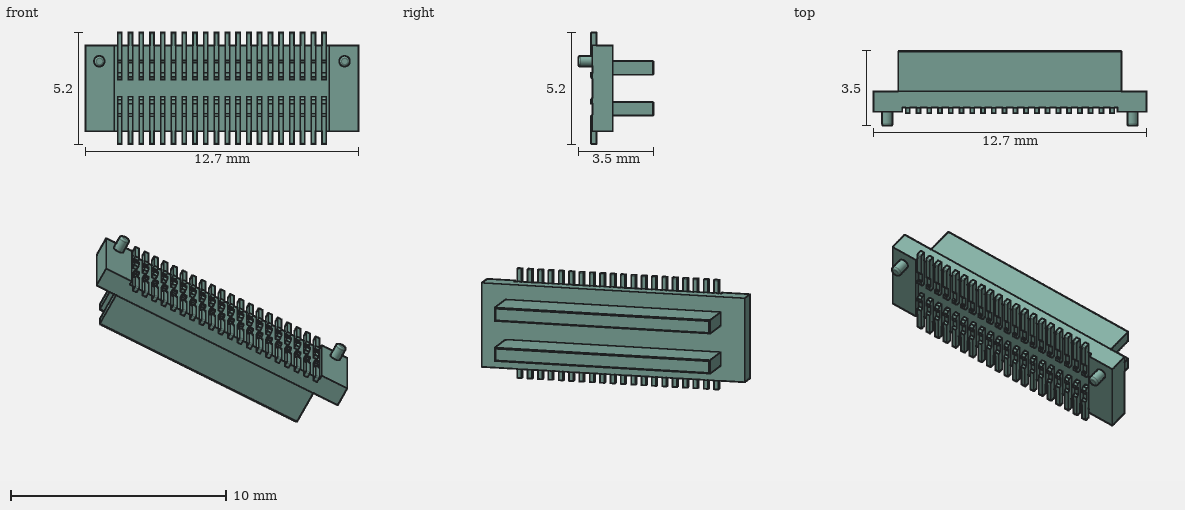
import cadquery as cq


housing_length = 12.7
housing_depth = 0.95
housing_height = 4.0
recess_length = 10.0
recess_depth = 0.19

wall_length = 10.39
wall_thickness = 0.65
wall_reach = 1.89
wall_spacing = 1.9
wall_chamfer = 0.05

peg_diameter = 0.5
peg_length = 0.66
peg_tip_radius = 0.095
peg_spacing = 11.4
peg_center_z = 1.26

contact_count = 20
contact_row_length = 9.5
contact_pitch = contact_row_length / (contact_count - 1)
contact_width = 0.2
contact_tip_to_tip = 5.2
contact_outer_z = contact_tip_to_tip / 2
contact_inner_z = 0.4
contact_stand_off = 0.08
contact_tip_front_radius = 0.06
contact_tip_back_radius = 0.03
contact_heel_height = 0.14
contact_heel_depth = 0.1
notch_outer_z = 1.3
notch_inner_z = 0.71
notch_depth = 0.1


def make_housing():
    """Block whose mounting face is recessed between the two end blocks."""
    block = cq.Workplane("XY").box(
        housing_length, housing_depth, housing_height, centered=(True, False, True)
    )
    recess = cq.Workplane("XY").box(
        recess_length, recess_depth, housing_height, centered=(True, False, True)
    )
    return block.cut(recess)


def make_wall(center_z):
    """Mating wall on the back of the housing, chamfered around its free end."""
    wall = cq.Workplane("XY").box(
        wall_length, wall_reach, wall_thickness, centered=(True, False, True)
    )
    wall = wall.faces(">Y").chamfer(wall_chamfer)
    return wall.translate((0, housing_depth, center_z))


def make_peg(center_x):
    """Round locating peg with a rounded tip."""
    peg = cq.Workplane("XZ").circle(peg_diameter / 2).extrude(peg_length)
    peg = peg.faces("<Y").fillet(peg_tip_radius)
    return peg.translate((center_x, 0, peg_center_z))


def make_upper_contact():
    """Flat solder tail lying on the recess floor, with a rounded tip and a notched outer face."""
    seat_y = recess_depth
    face_y = -contact_stand_off
    notch_y = face_y + notch_depth
    profile = [
        (seat_y, contact_outer_z),
        (face_y, contact_outer_z),
        (face_y, notch_outer_z),
        (notch_y, notch_outer_z - notch_depth),
        (notch_y, notch_inner_z),
        (face_y, notch_inner_z),
        (face_y, contact_inner_z + contact_heel_height),
        (face_y + contact_heel_depth, contact_inner_z),
        (seat_y, contact_inner_z),
    ]
    contact = cq.Workplane("YZ").polyline(profile).close().extrude(contact_width / 2, both=True)
    contact = contact.faces(">Z").edges("<Y").fillet(contact_tip_front_radius)
    return contact.faces(">Z").edges(">Y").fillet(contact_tip_back_radius)


result = make_housing()

for side in (-1, 1):
    result = result.union(make_wall(side * wall_spacing / 2))
    result = result.union(make_peg(side * peg_spacing / 2))

upper_contact = make_upper_contact()
lower_contact = upper_contact.mirror("XY")
first_contact_x = -contact_row_length / 2
for index in range(contact_count):
    offset = (first_contact_x + index * contact_pitch, 0, 0)
    result = result.union(upper_contact.translate(offset))
    result = result.union(lower_contact.translate(offset))